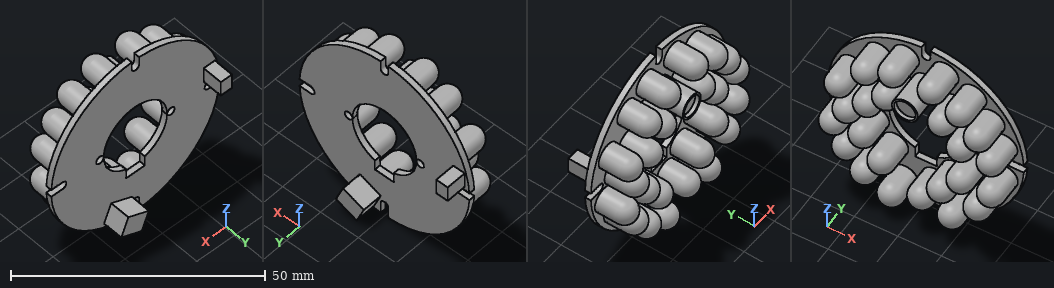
import cadquery as cq
import math


overall_width = 44.95
notch_width = 2.0
board_radius = math.hypot(overall_width / 2, notch_width / 2)
board_thickness = 1.5

side_notch_end = 18.5
top_notch_end = 19.4

bore_radius = 8.45
keyway_width = 5.0
keyway_bottom = 10.75
pin_hole_diameter = 2.0
pin_hole_offset = 9.5

lamp_diameter = 6.0
lamp_radius = lamp_diameter / 2
lamp_body_length = 5.05
lamp_height = lamp_body_length + lamp_radius

sensor_offset = 12.0
sensor_recess_diameter = 5.0
sensor_recess_depth = 1.0

block_height = 5.0
small_block_width = 3.0
small_block_length = 4.0
small_block_center = (-19.75, 4.05)
large_block_width = 6.0
large_block_length = 5.0
large_block_center = (4.68, -18.55)
large_block_angle = 22.5

outer_lamps = [
    (18.07, 4.6), (15.15, 10.1), (10.95, 15.05), (4.55, 17.95),
    (-4.55, 17.75), (-10.8, 14.85), (-16.95, 7.5),
    (-18.2, -4.3), (-15.2, -10.03), (-11.0, -14.93), (-4.8, -17.95),
    (9.05, -16.35), (15.05, -10.5), (18.15, -4.55),
]
inner_lamps = [
    (11.15, 4.85), (6.85, 9.8), (-6.0, 10.1), (-10.4, 5.58),
    (-11.4, -4.23), (-7.0, -9.6), (6.65, -9.95), (11.15, -4.65),
]
middle_lamps = [(-15.0, 1.1), (2.15, -14.7)]


def front_plane():
    """Sketch plane on the front face: local axes are X and Z, extrusion goes toward -Y."""
    return cq.Workplane("XZ")


def edge_notch(inner_end, angle):
    """Cutter for a round-ended notch running from inner_end out past the rim."""
    half_width = notch_width / 2
    arc_center = inner_end + half_width
    outer_end = board_radius + notch_width
    return (
        front_plane()
        .moveTo(outer_end, -half_width)
        .lineTo(arc_center, -half_width)
        .threePointArc((inner_end, 0), (arc_center, half_width))
        .lineTo(outer_end, half_width)
        .close()
        .extrude(-board_thickness)
        .rotate((0, 0, 0), (0, -1, 0), angle)
    )


def make_board():
    board = front_plane().circle(board_radius).extrude(-board_thickness)
    bore = front_plane().circle(bore_radius).extrude(-board_thickness)
    keyway = (
        front_plane()
        .center(0, -keyway_bottom / 2)
        .rect(keyway_width, keyway_bottom)
        .extrude(-board_thickness)
    )
    pin_holes = (
        front_plane()
        .pushPoints([(-pin_hole_offset, 0), (pin_hole_offset, 0)])
        .circle(pin_hole_diameter / 2)
        .extrude(-board_thickness)
    )
    board = board.cut(bore).cut(keyway).cut(pin_holes)
    for angle in (0, 90, 180, 270):
        inner_end = top_notch_end if angle == 90 else side_notch_end
        board = board.cut(edge_notch(inner_end, angle))
    return board


def make_lamp(x, z):
    """Straight cylindrical body with a hemispherical tip, revolved about its own axis."""
    arc_middle = lamp_radius * math.sqrt(0.5)
    return (
        cq.Workplane("XY")
        .lineTo(lamp_radius, 0)
        .lineTo(lamp_radius, -lamp_body_length)
        .threePointArc((arc_middle, -lamp_body_length - arc_middle), (0, -lamp_height))
        .close()
        .revolve(360, (0, 0), (0, 1))
        .translate((x, 0, z))
    )


def make_sensor():
    """Flat-ended cylinder as tall as the lamps, with a shallow round recess in its end."""
    body = front_plane().center(0, sensor_offset).circle(lamp_radius).extrude(lamp_height)
    recess = (
        front_plane()
        .workplane(offset=lamp_height - sensor_recess_depth)
        .center(0, sensor_offset)
        .circle(sensor_recess_diameter / 2)
        .extrude(sensor_recess_depth)
    )
    return body.cut(recess)


def make_block(width, length, center, angle=0):
    """Rectangular connector block on the back face, turned about its own centre."""
    x, z = center
    return (
        front_plane()
        .workplane(offset=-board_thickness)
        .rect(width, length)
        .extrude(-block_height)
        .rotate((0, 0, 0), (0, -1, 0), angle)
        .translate((x, 0, z))
    )


result = make_board()
for lamp_x, lamp_z in outer_lamps + inner_lamps + middle_lamps:
    result = result.union(make_lamp(lamp_x, lamp_z))
result = result.union(make_sensor())
result = result.union(make_block(small_block_width, small_block_length, small_block_center))
result = result.union(
    make_block(large_block_width, large_block_length, large_block_center, large_block_angle)
)